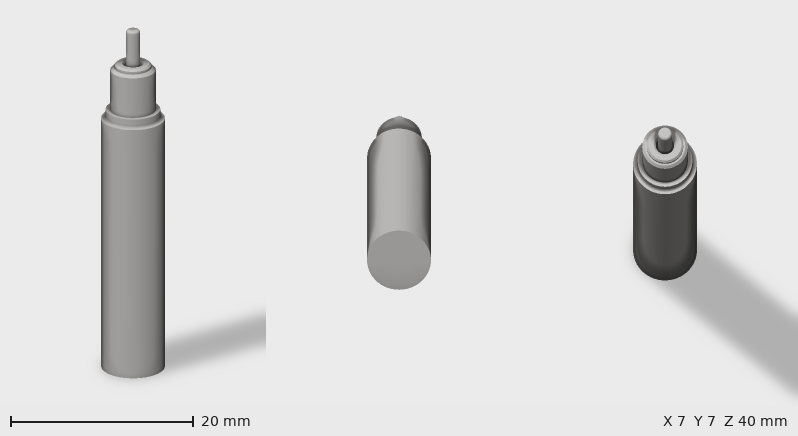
import cadquery as cq

total_height = 40.0
housing_height = 36.0
nose_shoulder_z = 35.5
collar_top_z = 30.55
collar_base_z = 29.8

barrel_diameter = 7.0
collar_diameter = 6.0
nose_diameter = 5.0
rim_diameter = 4.0
bore_diameter = 2.0

collar_fillet = 0.3
nose_chamfer = 0.3
rim_chamfer = 0.2
bore_chamfer = 0.2
bore_depth = 4.0

pin_diameter = 1.5
pin_fillet = 0.3
pin_seat_depth = 2.0


def make_housing():
    """Stepped round housing with a filleted collar, chamfered nose and raised rim."""
    barrel_radius = barrel_diameter / 2
    collar_radius = collar_diameter / 2
    nose_radius = nose_diameter / 2
    rim_radius = rim_diameter / 2
    return (
        cq.Workplane("XZ")
        .moveTo(0, 0)
        .lineTo(barrel_radius, 0)
        .lineTo(barrel_radius, collar_base_z - collar_fillet)
        .lineTo(collar_radius + collar_fillet, collar_base_z - collar_fillet)
        .radiusArc((collar_radius, collar_base_z), collar_fillet)
        .lineTo(collar_radius, collar_top_z)
        .lineTo(nose_radius, collar_top_z)
        .lineTo(nose_radius, nose_shoulder_z - nose_chamfer)
        .lineTo(nose_radius - nose_chamfer, nose_shoulder_z)
        .lineTo(rim_radius, nose_shoulder_z)
        .lineTo(rim_radius, housing_height - rim_chamfer)
        .lineTo(rim_radius - rim_chamfer, housing_height)
        .lineTo(0, housing_height)
        .close()
        .revolve(360, (0, 0, 0), (0, 1, 0))
    )


def make_bore():
    """Cutter for the countersunk bore around the pin and the pin's seat in its floor."""
    mouth_radius = bore_diameter / 2 + bore_chamfer
    seat_radius = pin_diameter / 2
    floor_z = housing_height - bore_depth
    return (
        cq.Workplane("XZ")
        .moveTo(0, floor_z - pin_seat_depth)
        .lineTo(seat_radius, floor_z - pin_seat_depth)
        .lineTo(seat_radius, floor_z)
        .lineTo(bore_diameter / 2, floor_z)
        .lineTo(bore_diameter / 2, housing_height - bore_chamfer)
        .lineTo(mouth_radius, housing_height)
        .lineTo(0, housing_height)
        .close()
        .revolve(360, (0, 0, 0), (0, 1, 0))
    )


def make_pin():
    """Straight round pin with a rounded tip, standing in the seat below the bore floor."""
    pin_base_z = housing_height - bore_depth - pin_seat_depth
    return (
        cq.Workplane("XY")
        .workplane(offset=pin_base_z)
        .circle(pin_diameter / 2)
        .extrude(total_height - pin_base_z)
        .faces(">Z")
        .fillet(pin_fillet)
    )


housing = make_housing().cut(make_bore())
pin = make_pin()
result = cq.Compound.makeCompound([housing.val(), pin.val()])